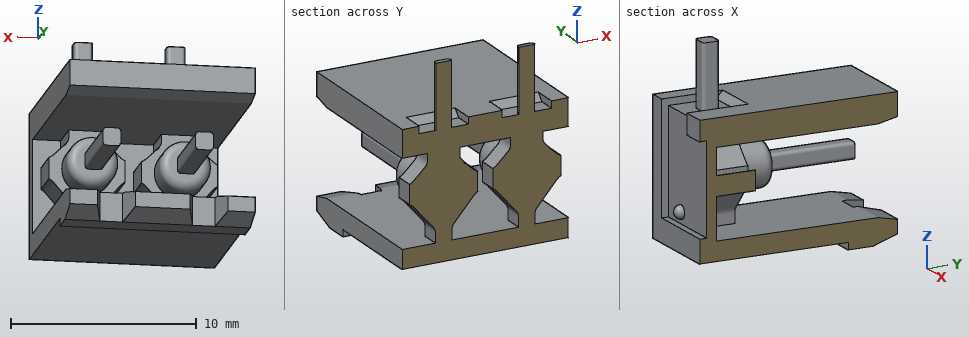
import cadquery as cq
import math

PITCH = 5.08
CONTACT_COUNT = 2
CONTACT_XS = [(i - (CONTACT_COUNT - 1) / 2) * PITCH for i in range(CONTACT_COUNT)]

WIDTH = CONTACT_COUNT * PITCH
DEPTH = 12.0
HOUSING_TOP = 8.11
FRONT_WALL = 1.03
CAVITY_BOTTOM = 1.18
CAVITY_TOP = 6.42
LEAD_IN_LENGTH = 1.2
LEAD_IN_RISE = 0.26

HOOK_DROP = 0.42
HOOK_START_Y = 9.0
HOOK_CREST_Y = 10.5
HOOK_TIP_Z = 0.08

NOTCH_DEPTH = 1.5
NOTCH_MOUTH_WIDTH = 2.08
NOTCH_ROOT_WIDTH = 1.24

RECESS_DEPTH = 0.42
RECESS_BOTTOM = 1.42
POCKET_FLOOR_Y = 3.28
POCKET_RIM_Y = 3.71
POCKET_WIDTH = 2.98
POCKET_FLOOR_Z = HOUSING_TOP - RECESS_DEPTH
TAB_WIDTH = PITCH - POCKET_WIDTH
SIDE_FRAME = TAB_WIDTH / 2
TAB_BOTTOM = 6.87

BUMP_RADIUS = 0.41
BUMP_Z = 2.1

PIN_Z = 4.26
BLOCK_END_Y = 3.4
BLOCK_HALF_WIDTH = 2.09
BLOCK_FLAT_BOTTOM = 3.67
BLOCK_FLAT_TOP = 4.85
UPPER_NECK_START = 6.03
LOWER_NECK_START = 1.77
UPPER_SLOPE = math.radians(44)
LOWER_SLOPE = math.radians(49)
SHOULDER_RADIUS = 1.0
SHOULDER_TURN = math.radians(20)
NECK_RADIUS = 0.5
BOSS_RADIUS = 1.39
BOSS_END_Y = 5.42
BOSS_ROUNDING = 0.5
PIN_SIZE = 0.99
PIN_ROUNDING = 0.2
PIN_END_Y = 10.7
PIN_TOP_Z = 11.57
PIN_RISER_Y = 2.0


def box(x_range, y_range, z_range):
    """Box between the given pairs of limits."""
    (x0, x1), (y0, y1), (z0, z1) = x_range, y_range, z_range
    return cq.Workplane("XY").box(x1 - x0, y1 - y0, z1 - z0, centered=False).translate((x0, y0, z0))


def make_shell():
    """C-shaped housing, open at the rear and both sides, with a latch hook below."""
    lead_in_y = DEPTH - LEAD_IN_LENGTH
    outline = [
        (0, 0),
        (HOOK_START_Y, 0),
        (HOOK_START_Y, -HOOK_DROP),
        (HOOK_CREST_Y, -HOOK_DROP),
        (DEPTH, HOOK_TIP_Z),
        (DEPTH, CAVITY_BOTTOM - LEAD_IN_RISE),
        (lead_in_y, CAVITY_BOTTOM),
        (FRONT_WALL, CAVITY_BOTTOM),
        (FRONT_WALL, CAVITY_TOP),
        (lead_in_y, CAVITY_TOP),
        (DEPTH, CAVITY_TOP + LEAD_IN_RISE),
        (DEPTH, HOUSING_TOP),
        (0, HOUSING_TOP),
    ]
    return cq.Workplane("YZ").polyline(outline).close().extrude(WIDTH / 2, both=True)


def make_notch(x):
    """Tapered cutter for the rear edge of the lower wall."""
    root_y = DEPTH - NOTCH_DEPTH
    outline = [
        (x - NOTCH_MOUTH_WIDTH / 2, DEPTH),
        (x - NOTCH_ROOT_WIDTH / 2, root_y),
        (x + NOTCH_ROOT_WIDTH / 2, root_y),
        (x + NOTCH_MOUTH_WIDTH / 2, DEPTH),
    ]
    height = CAVITY_BOTTOM + HOOK_DROP
    return cq.Workplane("XY", origin=(0, 0, -HOOK_DROP)).polyline(outline).close().extrude(height)


def make_front_recess():
    """Shallow recess in the front face, leaving the central tab standing."""
    half_width = WIDTH / 2 - SIDE_FRAME
    recess = box((-half_width, half_width), (0, RECESS_DEPTH), (RECESS_BOTTOM, POCKET_FLOOR_Z))
    tab = box((-TAB_WIDTH / 2, TAB_WIDTH / 2), (0, RECESS_DEPTH), (TAB_BOTTOM, POCKET_FLOOR_Z))
    return recess.cut(tab)


def make_top_pocket(x):
    """Cutter for a pocket around a pin riser, open at the front, with a sloped rear wall."""
    outline = [
        (0, POCKET_FLOOR_Z),
        (POCKET_FLOOR_Y, POCKET_FLOOR_Z),
        (POCKET_RIM_Y, HOUSING_TOP),
        (0, HOUSING_TOP),
    ]
    pocket = cq.Workplane("YZ").polyline(outline).close().extrude(POCKET_WIDTH / 2, both=True)
    return pocket.translate((x, 0, 0))


def arc_points(start, start_angle, end_angle, radius, up):
    """Middle and end of a hollow arc that runs inward from start, steepening between two angles.

    The angles are measured from the horizontal; up is 1 for a climbing arc and -1 for a falling one.
    """

    def point(angle):
        inward = radius * (math.sin(angle) - math.sin(start_angle))
        rise = radius * (math.cos(start_angle) - math.cos(angle))
        return start[0] - inward, start[1] + up * rise

    return point((start_angle + end_angle) / 2), point(end_angle)


def shoulder_points(flat_z, neck_z, slope):
    """Points from the side flat over a hollow shoulder and a straight slope to the neck."""
    up = math.copysign(1, neck_z - flat_z)
    corner = (BLOCK_HALF_WIDTH, flat_z)
    shoulder_mid, slope_start = arc_points(corner, slope - SHOULDER_TURN, slope, SHOULDER_RADIUS, up)
    slope_end_z = neck_z - up * NECK_RADIUS * math.cos(slope)
    slope_run = abs(slope_end_z - slope_start[1]) / math.tan(slope)
    slope_end = (slope_start[0] - slope_run, slope_end_z)
    neck_mid, neck = arc_points(slope_end, slope, math.pi / 2, NECK_RADIUS, up)
    return corner, shoulder_mid, slope_start, slope_end, neck_mid, neck


def make_block(x):
    """Keyed block behind the front wall, joined to both walls by narrow necks."""
    upper = shoulder_points(BLOCK_FLAT_TOP, UPPER_NECK_START, UPPER_SLOPE)
    lower = shoulder_points(BLOCK_FLAT_BOTTOM, LOWER_NECK_START, LOWER_SLOPE)
    upper_corner, upper_shoulder_mid, upper_slope_start, upper_slope_end, upper_neck_mid, upper_neck = upper
    lower_corner, lower_shoulder_mid, lower_slope_start, lower_slope_end, lower_neck_mid, lower_neck = lower
    half = (
        cq.Workplane("XZ", origin=(0, FRONT_WALL, 0))
        .moveTo(0, CAVITY_BOTTOM)
        .lineTo(lower_neck[0], CAVITY_BOTTOM)
        .lineTo(*lower_neck)
        .threePointArc(lower_neck_mid, lower_slope_end)
        .lineTo(*lower_slope_start)
        .threePointArc(lower_shoulder_mid, lower_corner)
        .lineTo(*upper_corner)
        .threePointArc(upper_shoulder_mid, upper_slope_start)
        .lineTo(*upper_slope_end)
        .threePointArc(upper_neck_mid, upper_neck)
        .lineTo(upper_neck[0], CAVITY_TOP)
        .lineTo(0, CAVITY_TOP)
        .close()
        .extrude(FRONT_WALL - BLOCK_END_Y)
    )
    return half.union(half.mirror("YZ")).translate((x, 0, 0))


def make_boss(x):
    """Round boss with a rounded rim on the rear of a keyed block."""
    boss = (
        cq.Workplane("XZ", origin=(x, FRONT_WALL, PIN_Z))
        .circle(BOSS_RADIUS)
        .extrude(FRONT_WALL - BOSS_END_Y)
    )
    return boss.faces(">Y").edges().fillet(BOSS_ROUNDING)


def make_pins(x):
    """Mating pin toward the rear and solder pin upward, both square with rounded corners."""
    mating_pin = (
        cq.Workplane("XZ", origin=(x, FRONT_WALL, PIN_Z))
        .rect(PIN_SIZE, PIN_SIZE)
        .extrude(FRONT_WALL - PIN_END_Y)
        .edges("|Y")
        .fillet(PIN_ROUNDING)
    )
    solder_pin = (
        cq.Workplane("XY", origin=(x, PIN_RISER_Y, CAVITY_TOP))
        .rect(PIN_SIZE, PIN_SIZE)
        .extrude(PIN_TOP_Z - CAVITY_TOP)
        .edges("|Z")
        .fillet(PIN_ROUNDING)
    )
    return mating_pin.union(solder_pin)


def make_bump(x):
    """Half-ball standing on the recess face, almost reaching the front plane."""
    return cq.Workplane("XY").sphere(BUMP_RADIUS).translate((x, RECESS_DEPTH, BUMP_Z))


result = make_shell().cut(make_front_recess())
for contact_x in CONTACT_XS:
    result = result.cut(make_notch(contact_x)).cut(make_top_pocket(contact_x))
    result = result.union(make_block(contact_x)).union(make_boss(contact_x))
    result = result.union(make_pins(contact_x)).union(make_bump(contact_x))